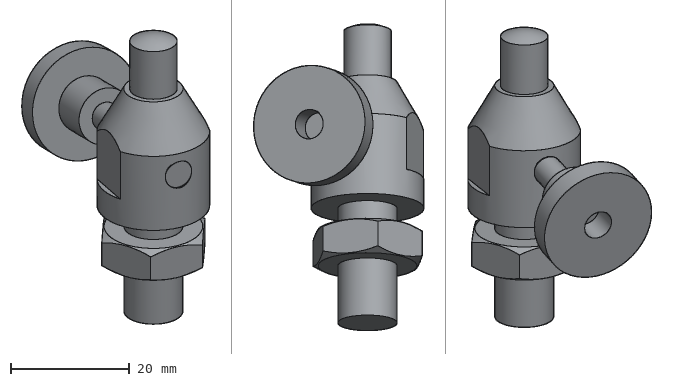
import cadquery as cq
import math

NUT_BOTTOM = 10.0
NUT_TOP = 16.0
BODY_BOTTOM = 20.0
FLAT_BOTTOM = 25.0
CROSS_HOLE_Z = 30.0
CONE_BOTTOM = 34.0
CONE_TOP = 42.0
DOME_BASE = 51.0
TOTAL_HEIGHT = 52.0

STEM_RADIUS = 5.0
BODY_RADIUS = 9.5
PLUNGER_RADIUS = 4.0

ACROSS_FLATS = 17.0
NUT_CHAMFER_RADIUS = 8.3
NUT_CHAMFER_ANGLE = 30.0

LEVER_ANGLE = 8.0
ROD_RADIUS = 2.5
ROD_INSERTION = 0.5
LEVER_REACH = 19.65
KNOB_RADIUS = 10.0
KNOB_THICKNESS = 4.0
HUB_RADIUS = 5.0
HUB_LENGTH = 7.5
KNOB_HOLE_DEPTH = 5.0

SHANK_HALF_LENGTH = math.sqrt(BODY_RADIUS**2 - ROD_RADIUS**2)


def make_shank():
    """Straight rod along X that fills the cross hole, up to its edge dips."""
    return (
        cq.Workplane("YZ", origin=(-SHANK_HALF_LENGTH, 0, CROSS_HOLE_Z))
        .circle(ROD_RADIUS)
        .extrude(2 * SHANK_HALF_LENGTH)
    )


def make_cross_hole():
    """Cutter for the hole along X through the whole body."""
    return (
        cq.Workplane("YZ", origin=(0, 0, CROSS_HOLE_Z))
        .circle(ROD_RADIUS)
        .extrude(2 * BODY_RADIUS, both=True)
    )


def make_housing():
    """Turned stem, body, cone and domed plunger with two flats and a cross hole."""
    dome_height = TOTAL_HEIGHT - DOME_BASE
    dome_radius = (PLUNGER_RADIUS**2 + dome_height**2) / (2 * dome_height)
    mid_radius = PLUNGER_RADIUS / 2
    mid_height = TOTAL_HEIGHT - dome_radius + math.sqrt(dome_radius**2 - mid_radius**2)
    turned = (
        cq.Workplane("XZ")
        .moveTo(0, 0)
        .lineTo(STEM_RADIUS, 0)
        .lineTo(STEM_RADIUS, BODY_BOTTOM)
        .lineTo(BODY_RADIUS, BODY_BOTTOM)
        .lineTo(BODY_RADIUS, CONE_BOTTOM)
        .lineTo(STEM_RADIUS, CONE_TOP)
        .lineTo(PLUNGER_RADIUS, CONE_TOP)
        .lineTo(PLUNGER_RADIUS, DOME_BASE)
        .threePointArc((mid_radius, mid_height), (0, TOTAL_HEIGHT))
        .close()
        .revolve(360, (0, 0, 0), (0, 1, 0))
    )
    for side in (-1, 1):
        flat_cutter = cq.Workplane("XY").box(
            2 * BODY_RADIUS, BODY_RADIUS, CONE_TOP - FLAT_BOTTOM, centered=(True, True, False)
        )
        flat_y = side * (ACROSS_FLATS + BODY_RADIUS) / 2
        turned = turned.cut(flat_cutter.translate((0, flat_y, FLAT_BOTTOM)))
    return turned.cut(make_cross_hole())


def make_nut():
    """Hexagon nut with corners on the Y axis, chamfered at both ends."""
    corner_radius = ACROSS_FLATS / math.sqrt(3)
    chamfer_drop = (corner_radius - NUT_CHAMFER_RADIUS) * math.tan(math.radians(NUT_CHAMFER_ANGLE))
    hexagon = (
        cq.Workplane("XY", origin=(0, 0, NUT_BOTTOM))
        .transformed(rotate=(0, 0, 90))
        .polygon(6, 2 * corner_radius)
        .extrude(NUT_TOP - NUT_BOTTOM)
    )
    chamfer_envelope = (
        cq.Workplane("XZ")
        .moveTo(STEM_RADIUS, NUT_BOTTOM)
        .lineTo(NUT_CHAMFER_RADIUS, NUT_BOTTOM)
        .lineTo(corner_radius, NUT_BOTTOM + chamfer_drop)
        .lineTo(corner_radius, NUT_TOP - chamfer_drop)
        .lineTo(NUT_CHAMFER_RADIUS, NUT_TOP)
        .lineTo(STEM_RADIUS, NUT_TOP)
        .close()
        .revolve(360, (0, 0, 0), (0, 1, 0))
    )
    return hexagon.intersect(chamfer_envelope)


def make_lever(housing):
    """Shank in the cross hole, bent down at the hole mouth to a hub and knob."""
    hub_end = KNOB_THICKNESS + HUB_LENGTH
    arm = (
        cq.Workplane("XY")
        .moveTo(0, 0)
        .lineTo(0, KNOB_RADIUS)
        .lineTo(KNOB_THICKNESS, KNOB_RADIUS)
        .lineTo(KNOB_THICKNESS, HUB_RADIUS)
        .lineTo(hub_end, HUB_RADIUS)
        .lineTo(hub_end, ROD_RADIUS)
        .lineTo(LEVER_REACH + ROD_INSERTION, ROD_RADIUS)
        .lineTo(LEVER_REACH + ROD_INSERTION, 0)
        .close()
        .revolve(360, (0, 0, 0), (1, 0, 0))
    )
    knob_hole = cq.Workplane("YZ").circle(ROD_RADIUS).extrude(KNOB_HOLE_DEPTH)
    arm = (
        arm.cut(knob_hole)
        .translate((-LEVER_REACH, 0, 0))
        .rotate((0, 0, 0), (0, 1, 0), -LEVER_ANGLE)
        .translate((-BODY_RADIUS, 0, CROSS_HOLE_Z))
    )
    return arm.cut(housing).union(make_shank())


housing = make_housing()
nut = make_nut()
lever = make_lever(housing)
result = cq.Compound.makeCompound([housing.val(), nut.val(), *lever.solids().vals()])